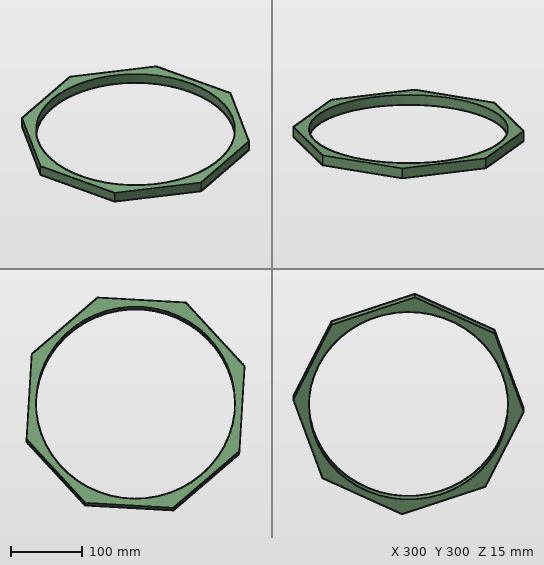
import cadquery as cq
import math

across_flats = 300.0
thickness = 15.0
bore_diameter = 280.0

side_count = 8
half_side_angle = 180.0 / side_count
across_corners = across_flats / math.cos(math.radians(half_side_angle))

octagon = (
    cq.Workplane("XY")
    .polygon(side_count, across_corners)
    .extrude(thickness)
    .rotate((0, 0, 0), (0, 0, 1), half_side_angle)
)

result = octagon.faces(">Z").workplane(origin=(0, 0, thickness)).hole(bore_diameter)